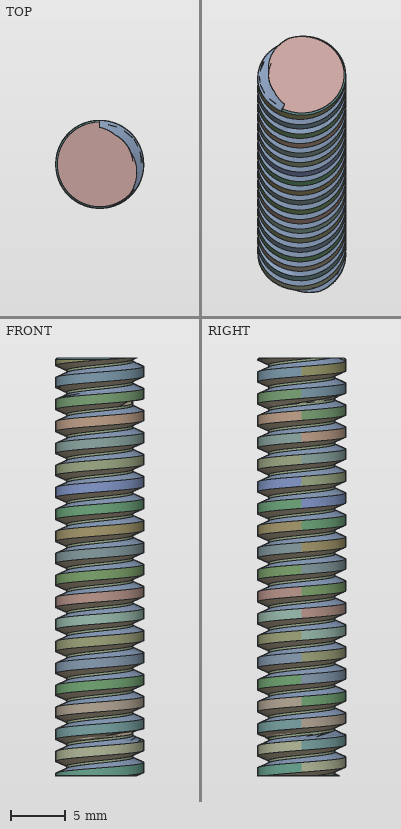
import cadquery as cq

length = 38.0
diameter = 8.0
turns = 19
pitch = length / turns

groove_depth = 1.0
groove_mouth = 1.1
groove_floor = 0.23
groove_end_height = length + 0.25
groove_end_angle = 90
run_in_turns = 1

top_chamfer = 0.15

outer_radius = diameter / 2
root_radius = outer_radius - groove_depth
overshoot = 0.38


def make_groove_cutter():
    cutter_turns = turns + run_in_turns
    cutter_height = cutter_turns * pitch
    start_height = groove_end_height - cutter_height
    cutter_radius = outer_radius + overshoot
    flank_slope = (groove_mouth - groove_floor) / (2 * groove_depth)
    half_floor = groove_floor / 2
    half_mouth = groove_mouth / 2 + overshoot * flank_slope
    profile = (
        cq.Workplane("XZ")
        .polyline(
            [
                (root_radius, start_height - half_floor),
                (cutter_radius, start_height - half_mouth),
                (cutter_radius, start_height + half_mouth),
                (root_radius, start_height + half_floor),
            ]
        )
        .close()
    )
    helix = cq.Wire.makeHelix(pitch, cutter_height, root_radius, center=cq.Vector(0, 0, start_height))
    cutter = profile.sweep(cq.Workplane(obj=helix), isFrenet=True)
    return cutter.rotate((0, 0, 0), (0, 0, 1), groove_end_angle)


rod = cq.Workplane("XY").circle(outer_radius).extrude(length).faces(">Z").chamfer(top_chamfer)
result = rod.cut(make_groove_cutter())